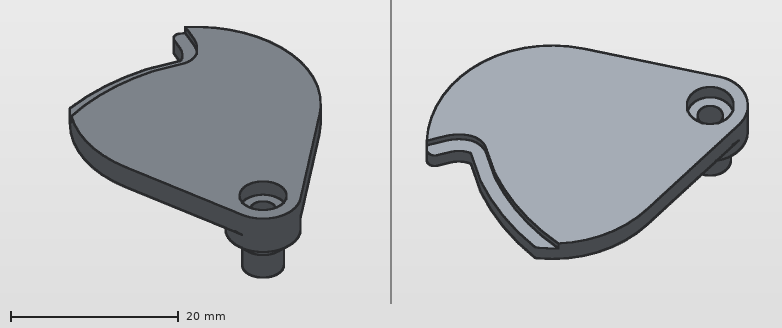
import cadquery as cq
import math

plate_thickness = 3.0
ledge_depth = 0.93
ledge_width = 1.77

disk_radius = 14.95
disk_x = -19.75
boss_radius = 9.0 / 2

collar_height = 2.0
cone_height = 2.0
pin_height = 3.4
pin_radius = 5 / 2

bore_diameter = 3.0
counterbore_diameter = 5.6
counterbore_depth = 2.0

notch_arc_radius = 29.38
notch_top_y = 3.25
bend_start_x = -31.45
notch_bend_radius = 3.47
notch_corner_radius = 0.4
ledge_corner_radius = 2.8
side_end_y = -2.05
side_lean = 0.15
tip_radius = 0.95
heel_radius = 0.55
overrun = 7.7


def make_plate():
    """Teardrop plate."""
    tangent_sine = (disk_radius - boss_radius) / abs(disk_x)
    tangent_cosine = math.sqrt(1 - tangent_sine**2)
    disk_tangent_x = disk_x + disk_radius * tangent_sine
    disk_tangent_y = disk_radius * tangent_cosine
    boss_tangent_x = boss_radius * tangent_sine
    boss_tangent_y = boss_radius * tangent_cosine
    return (
        cq.Workplane("XY")
        .moveTo(disk_tangent_x, disk_tangent_y)
        .threePointArc((disk_x - disk_radius, 0), (disk_tangent_x, -disk_tangent_y))
        .lineTo(boss_tangent_x, -boss_tangent_y)
        .threePointArc((boss_radius, 0), (boss_tangent_x, boss_tangent_y))
        .close()
        .extrude(plate_thickness)
    )


def make_notch(offset, corner_radius, bottom_z):
    """Cutter for the notch grown by offset, from bottom_z to the top of the plate."""
    outside_x = disk_x - disk_radius - overrun
    top_y = notch_top_y + offset
    arc_radius = notch_arc_radius - offset
    arc_end_y = -disk_radius - overrun
    height = plate_thickness - bottom_z

    def arc_point(y):
        return (-math.sqrt(arc_radius**2 - y**2), y)

    bend_radius = notch_bend_radius + offset
    corner_x = arc_point(side_end_y)[0] + side_lean
    bend_drop = bend_radius - math.sqrt(bend_radius**2 - (corner_x - bend_start_x) ** 2)
    corner_y = top_y - bend_drop
    corner_edge = cq.selectors.NearestToPointSelector((corner_x, corner_y, bottom_z + height / 2))
    return (
        cq.Workplane("XY", origin=(0, 0, bottom_z))
        .moveTo(outside_x, top_y)
        .lineTo(bend_start_x, top_y)
        .tangentArcPoint((corner_x, corner_y), relative=False)
        .lineTo(*arc_point(side_end_y))
        .threePointArc(arc_point(arc_end_y / 2), arc_point(arc_end_y))
        .lineTo(outside_x, arc_end_y)
        .close()
        .extrude(height)
        .edges("|Z")
        .edges(corner_edge)
        .fillet(corner_radius)
    )


def make_pivot():
    """Collar, cone and pin, revolved about the Z axis."""
    collar_bottom = -collar_height
    cone_bottom = collar_bottom - cone_height
    pin_bottom = cone_bottom - pin_height
    return (
        cq.Workplane("XZ")
        .moveTo(0, plate_thickness)
        .lineTo(boss_radius, plate_thickness)
        .lineTo(boss_radius, collar_bottom)
        .lineTo(pin_radius, cone_bottom)
        .lineTo(pin_radius, pin_bottom)
        .lineTo(0, pin_bottom)
        .close()
        .revolve(360, (0, 0, 0), (0, 1, 0))
    )


plate = make_plate().cut(make_notch(0, notch_corner_radius, 0))
plate = plate.edges("|Z").edges("<X").fillet(tip_radius)
heel_x = (disk_x**2 + notch_arc_radius**2 - disk_radius**2) / (2 * disk_x)
heel_y = -math.sqrt(notch_arc_radius**2 - heel_x**2)
heel_edge = cq.selectors.NearestToPointSelector((heel_x, heel_y, plate_thickness / 2))
plate = plate.edges("|Z").edges(heel_edge).fillet(heel_radius)

ledge = make_notch(ledge_width, ledge_corner_radius, plate_thickness - ledge_depth)
plate = plate.cut(ledge)

result = (
    plate.union(make_pivot())
    .faces(">Z")
    .workplane(origin=(0, 0, plate_thickness))
    .cboreHole(bore_diameter, counterbore_diameter, counterbore_depth)
)